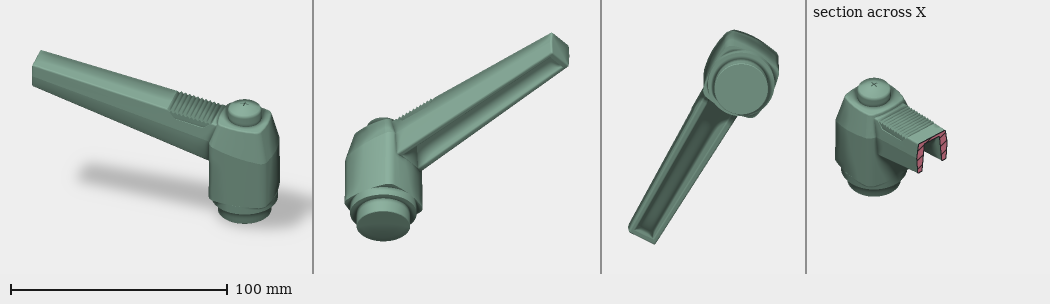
import cadquery as cq
import math

HUB_RADIUS = 15.4
TOTAL_LENGTH = 115.7
LEVER_TIP_X = HUB_RADIUS - TOTAL_LENGTH
TOTAL_HEIGHT = 65.3

FOOT_DIAMETER = 24.8
FOOT_CHAMFER = 0.2
FOOT_TOP_Z = 7.3
FLANGE_TOP_Z = 11.5

PARTING_Z = 38.1
PARTING_ANGLE = 12.1
PARTING_HALF_WIDTH = 15.0
HUB_BOTTOM_HALF_WIDTH = 15.3
HUB_OFFSET_X = -0.1
HUB_TOP_Z = 50.8
HUB_TOP_ANGLE = 3.6
HUB_TOP_HALF_WIDTH = 11.3
HUB_TOP_FILLET = 0.9
SIDE_BULGE = 0.13
CORNER_RATIO = 0.28

BUTTON_DIAMETER = 15.4
BUTTON_SIDE_TOP_Z = 55.0
BUTTON_TOP_Z = 58.5
CAP_SHOULDER_RADIUS = 7.1
CAP_SHOULDER_Z = 56.2
CAP_SAGITTA = 0.17
SCREW_DIAMETER = 7.4
SCREW_EDGE_Z = 57.7
SCREW_SAGITTA = 0.1
CROSS_LENGTH = 3.8
CROSS_WIDTH = 0.6
CROSS_DEPTH = 1.2

LEVER_ROOT_X = -10.4
LEVER_TOP_ANGLE = 9.8
LEVER_BOTTOM_ANGLE = 15.5
TIP_HEIGHT = 11.8
TIP_HALF_WIDTHS = (6.8, 7.4, 6.8)
ROOT_HALF_WIDTHS = (8.7, 10.1, 9.4)
LEVER_FILLET = 0.8

ROOF_THICKNESS = 2.1
TIP_WALL = 2.3
LIP_FILLET = 0.7
CAVITY_END_X = -15.3
CAVITY_TIP_HALF_WIDTHS = (3.9, 4.6)
CAVITY_END_HALF_WIDTHS = (4.5, 6.2)

GRIP_TOP_X = (-34.5, -13.4)
GRIP_BOTTOM_X = (-31.4, -17.2)
GRIP_DEPTH = 3.7
GRIP_HALF_WIDTH = 8.6
TOOTH_COUNT = 10
TOOTH_PITCH = 2.0
TOOTH_DEPTH = 1.2
FIRST_GROOVE_X = -33.8


def slope(angle):
    return math.tan(math.radians(angle))


LEVER_TOP_TIP_Z = TOTAL_HEIGHT + LEVER_FILLET * (
    slope(LEVER_TOP_ANGLE) + 1 / math.cos(math.radians(LEVER_TOP_ANGLE)) - 1
)


def parting_z(x):
    return PARTING_Z - x * slope(PARTING_ANGLE)


def lever_top_z(x):
    return LEVER_TOP_TIP_Z - (x - LEVER_TIP_X) * slope(LEVER_TOP_ANGLE)


def lever_bottom_z(x):
    return TOTAL_HEIGHT - TIP_HEIGHT - (x - LEVER_TIP_X) * slope(LEVER_BOTTOM_ANGLE)


def hub_section(half_width, x, z, tilt):
    """Square wire with bulged sides and rounded corners, tilted about Y."""
    stretch = 1 / math.cos(math.radians(tilt))
    plane = cq.Plane(
        origin=(x, 0, z),
        xDir=(1, 0, -slope(tilt)),
        normal=(slope(tilt), 0, 1),
    )
    corner = half_width * (1 - SIDE_BULGE)
    flat = corner * stretch
    bulged = half_width * stretch
    outline = (
        cq.Workplane(plane)
        .moveTo(-flat, -corner)
        .threePointArc((0, -half_width), (flat, -corner))
        .threePointArc((bulged, 0), (flat, corner))
        .threePointArc((0, half_width), (-flat, corner))
        .threePointArc((-bulged, 0), (-flat, -corner))
        .close()
    )
    wire = outline.val()
    return wire.fillet2D(CORNER_RATIO * half_width, wire.Vertices())


def make_hub():
    bottom = hub_section(HUB_BOTTOM_HALF_WIDTH, HUB_OFFSET_X, FLANGE_TOP_Z, 0)
    middle = hub_section(PARTING_HALF_WIDTH, HUB_OFFSET_X, PARTING_Z, PARTING_ANGLE)
    top = hub_section(HUB_TOP_HALF_WIDTH, 0, HUB_TOP_Z, HUB_TOP_ANGLE)
    body = cq.Workplane(cq.Solid.makeLoft([bottom, middle, top], True))
    return body.faces(">Z").edges().fillet(HUB_TOP_FILLET)


def make_foot():
    foot = cq.Workplane().circle(FOOT_DIAMETER / 2).extrude(FOOT_TOP_Z)
    foot = foot.faces("<Z").edges().chamfer(FOOT_CHAMFER)
    flange = (
        cq.Workplane()
        .workplane(offset=FOOT_TOP_Z)
        .circle(HUB_RADIUS)
        .extrude(FLANGE_TOP_Z - FOOT_TOP_Z)
    )
    return foot.union(flange)


def make_button():
    radius = BUTTON_DIAMETER / 2
    profile = (
        cq.Workplane("XZ")
        .moveTo(0, PARTING_Z)
        .lineTo(radius, PARTING_Z)
        .lineTo(radius, BUTTON_SIDE_TOP_Z)
        .sagittaArc((CAP_SHOULDER_RADIUS, CAP_SHOULDER_Z), -CAP_SAGITTA)
        .sagittaArc((SCREW_DIAMETER / 2, SCREW_EDGE_Z), -CAP_SAGITTA)
        .sagittaArc((0, BUTTON_TOP_Z), -SCREW_SAGITTA)
        .close()
    )
    button = profile.revolve(360, (0, 0, 0), (0, 1, 0))
    cross = (
        cq.Workplane()
        .workplane(offset=BUTTON_TOP_Z)
        .rect(CROSS_LENGTH, CROSS_WIDTH)
        .extrude(-CROSS_DEPTH)
    )
    return button.cut(cross).cut(cross.rotate((0, 0, 0), (0, 0, 1), 90))


def lever_section(x, half_widths):
    top, middle, bottom = half_widths
    points = [
        (x, -top, lever_top_z(x)),
        (x, -middle, parting_z(x)),
        (x, -bottom, lever_bottom_z(x)),
        (x, bottom, lever_bottom_z(x)),
        (x, middle, parting_z(x)),
        (x, top, lever_top_z(x)),
    ]
    return cq.Wire.makePolygon([cq.Vector(*p) for p in points], close=True)


def cavity_section(x, half_widths):
    """Trapezoid from the cavity roof down to the open underside."""
    top, bottom = half_widths
    roof_z = lever_top_z(x) - ROOF_THICKNESS
    points = [
        (x, -top, roof_z),
        (x, -bottom, lever_bottom_z(x)),
        (x, bottom, lever_bottom_z(x)),
        (x, top, roof_z),
    ]
    return cq.Wire.makePolygon([cq.Vector(*p) for p in points], close=True)


def mirrored_edges(start, end):
    """Select the straight edge between two points and its mirror image across Y = 0."""
    x, y, z = [(a + b) / 2 for a, b in zip(start, end)]
    near_front = cq.selectors.NearestToPointSelector((x, -y, z))
    near_back = cq.selectors.NearestToPointSelector((x, y, z))
    return near_front + near_back


def make_arm():
    tip = lever_section(LEVER_TIP_X, TIP_HALF_WIDTHS)
    root = lever_section(LEVER_ROOT_X, ROOT_HALF_WIDTHS)
    arm = cq.Workplane(cq.Solid.makeLoft([tip, root], True))
    top_edges = mirrored_edges(
        (LEVER_TIP_X, TIP_HALF_WIDTHS[0], lever_top_z(LEVER_TIP_X)),
        (LEVER_ROOT_X, ROOT_HALF_WIDTHS[0], lever_top_z(LEVER_ROOT_X)),
    )
    bottom_edges = mirrored_edges(
        (LEVER_TIP_X, TIP_HALF_WIDTHS[2], lever_bottom_z(LEVER_TIP_X)),
        (LEVER_ROOT_X, ROOT_HALF_WIDTHS[2], lever_bottom_z(LEVER_ROOT_X)),
    )
    tip_edges = cq.selectors.StringSyntaxSelector("<X")
    return arm.edges(top_edges + bottom_edges + tip_edges).fillet(LEVER_FILLET)


def grip_prism(half_width):
    top_start, top_end = GRIP_TOP_X
    bottom_start, bottom_end = GRIP_BOTTOM_X
    outline = [
        (top_start, lever_top_z(top_start)),
        (bottom_start, lever_top_z(bottom_start) - GRIP_DEPTH),
        (bottom_end, lever_top_z(bottom_end) - GRIP_DEPTH),
        (top_end, lever_top_z(top_end)),
    ]
    return cq.Workplane("XZ").polyline(outline).close().extrude(half_width, both=True)


def make_grooves():
    """Row of V grooves across the grip, one more than there are teeth."""
    grooves = cq.Workplane()
    for index in range(TOOTH_COUNT + 1):
        x = FIRST_GROOVE_X + index * TOOTH_PITCH
        start = x - TOOTH_PITCH / 2
        end = x + TOOTH_PITCH / 2
        groove = (
            cq.Workplane("XZ")
            .moveTo(start, lever_top_z(start))
            .lineTo(x, lever_top_z(x) - TOOTH_DEPTH)
            .lineTo(end, lever_top_z(end))
            .close()
            .extrude(HUB_RADIUS, both=True)
        )
        grooves = grooves.add(groove)
    return grooves.combine()


def add_grip(arm):
    pad = grip_prism(GRIP_HALF_WIDTH)
    flank_recess = grip_prism(HUB_RADIUS).cut(pad)
    return arm.union(pad).cut(flank_recess).cut(make_grooves())


def hollow_lever(lever):
    start_x = LEVER_TIP_X + TIP_WALL
    start = cavity_section(start_x, CAVITY_TIP_HALF_WIDTHS)
    end = cavity_section(CAVITY_END_X, CAVITY_END_HALF_WIDTHS)
    hollow = lever.cut(cq.Workplane(cq.Solid.makeLoft([start, end], True)))
    lip_edges = mirrored_edges(
        (start_x, CAVITY_TIP_HALF_WIDTHS[1], lever_bottom_z(start_x)),
        (CAVITY_END_X, CAVITY_END_HALF_WIDTHS[1], lever_bottom_z(CAVITY_END_X)),
    )
    return hollow.edges(lip_edges).fillet(LIP_FILLET)


lever = hollow_lever(add_grip(make_arm()))
result = lever.union(make_hub()).union(make_foot()).union(make_button())